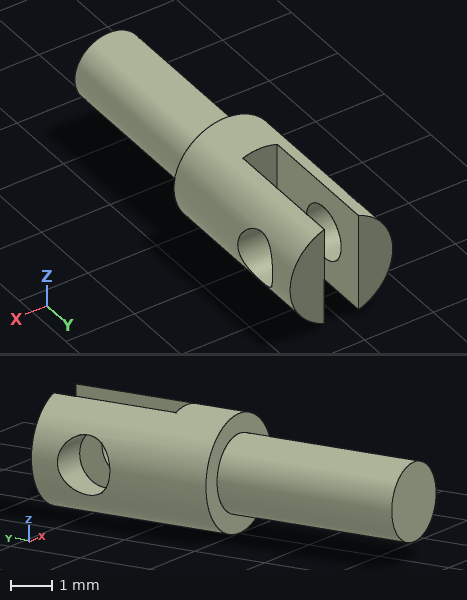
import cadquery as cq

total_length = 10.0
head_length = total_length / 2
shank_length = total_length - head_length
head_diameter = 3.0
shank_diameter = 2.0
slot_width = 1.0
slot_depth = 3.5
hole_diameter = 1.5
hole_from_end = 1.5


def cylinder_along_y(diameter, start, length):
    """Solid cylinder on the pin axis, running toward +Y from start."""
    base = cq.Workplane("XZ", origin=(0, start, 0))
    return base.circle(diameter / 2).extrude(-length)


shank = cylinder_along_y(shank_diameter, 0, shank_length)
head = cylinder_along_y(head_diameter, shank_length, head_length)

slot = cq.Workplane("XY").box(slot_width, slot_depth, head_diameter).translate(
    (0, total_length - slot_depth / 2, 0)
)

cross_hole = (
    cq.Workplane("YZ")
    .center(total_length - hole_from_end, 0)
    .circle(hole_diameter / 2)
    .extrude(head_diameter / 2, both=True)
)

result = shank.union(head).cut(slot).cut(cross_hole)